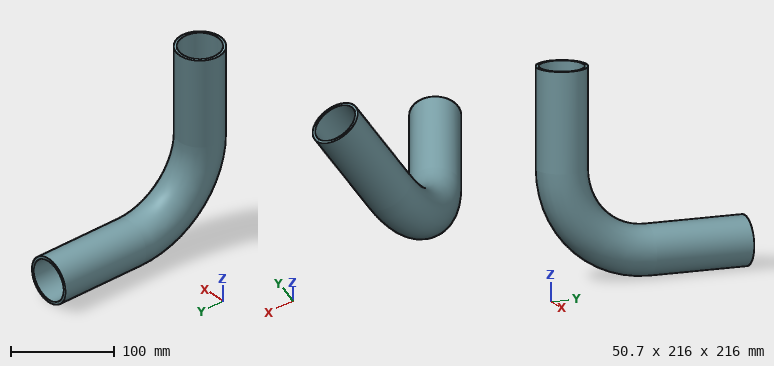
import cadquery as cq

overall_size = 216.0
outer_diameter = 50.7
inner_diameter = 44.7
bend_radius = 89.0

outer_radius = outer_diameter / 2
inner_radius = inner_diameter / 2
leg_length = overall_size - outer_radius - bend_radius


def tube_along_z(length):
    """Straight tube rising from the origin along +Z."""
    return (
        cq.Workplane("XY")
        .circle(outer_radius)
        .circle(inner_radius)
        .extrude(length)
    )


upright_leg = tube_along_z(leg_length)

bend = (
    cq.Workplane("XY")
    .circle(outer_radius)
    .circle(inner_radius)
    .revolve(90, (0, bend_radius, 0), (1, bend_radius, 0))
)

level_leg = (
    tube_along_z(leg_length)
    .rotate((0, 0, 0), (1, 0, 0), -90)
    .translate((0, bend_radius, -bend_radius))
)

result = upright_leg.union(bend).union(level_leg)